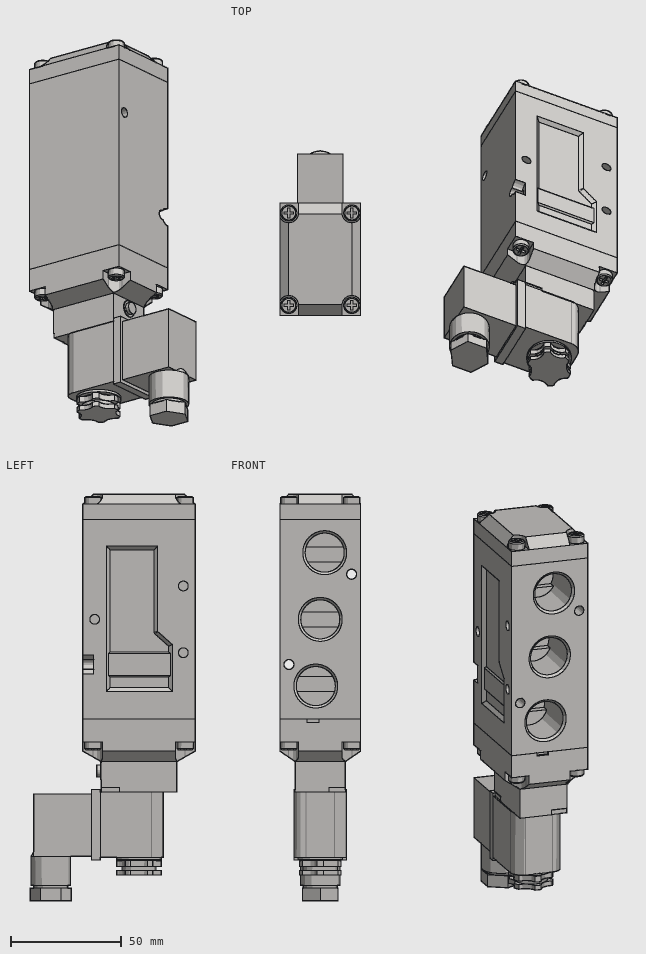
import cadquery as cq
import math


total_height = 183.8
cap_base_z = 172.2
body_base_z = 82.2
pilot_top_z = 62.9
coil_top_z = 49.0
coil_base_z = 19.7

body_width = 36.5
body_depth = 51.0
body_half_width = body_width / 2
front_y = -body_depth / 2
back_y = body_depth / 2
body_mid_z = (cap_base_z + body_base_z) / 2

port_pitch = 30.1
port_shift_x = 2.0
port_radius = 8.8
port_chamfer = 1.1
port_depth = 22.0
port_slot_pitch = 29.2
port_slot_height = 6.8
port_slot_depth = 3.7

mount_hole_radius = 2.2
mount_hole_x = 14.2
mount_hole_rise = 20.4
side_hole_radius = 2.2
side_hole_y = 20.0
side_hole_depth = 5.5

notch_radius = 4.2
notch_depth = 5.0
notch_z = 106.8

pocket_depth = 1.7
wall_draft_angle = 45.0
pocket_back_y = 14.7
pocket_front_y = -8.5
pocket_foot_y = -15.0
pocket_base_z = 94.7
pocket_top_z = 160.3
pocket_slant_top_z = 121.7
pocket_slant_base_z = 115.8
bar_base_z = 101.0
bar_top_z = 112.5
bar_height = 0.7

screw_inset_x = 4.0
screw_inset_y = 4.6
screw_radius = 3.7
screw_height = 3.5
screw_chamfer = 0.5
cross_width = 1.1
cross_length = 4.5
cross_depth = 1.5
corner_radius = 4.5

cap_shoulder_z = 179.2
cap_slope_x = 4.0
cap_slope_y = 5.0

cover_slope_z = 67.6
cover_pocket_z = 71.7
pilot_width = 22.6
pilot_depth = 34.2
cover_mark_width = 5.5
cover_mark_height = 1.5
cover_mark_depth = 1.5
cover_mark_x = -3.3
foot_mark_length_x = 7.4
foot_mark_length_y = 8.3
foot_mark_height = 2.2
foot_mark_depth = 0.4
button_z = 58.6
button_radius = 2.8
button_length = 2.0
collar_radius = 3.9
collar_length = 0.4

coil_width = 23.5
coil_front_y = -11.0
coil_back_y = 17.5
coil_corner_radius = 5.3
flange_thickness = 4.0
flange_width = 23.9
flange_top_z = 50.4
flange_base_z = 18.4
flange_back_y = coil_back_y + flange_thickness

nut_radius = 10.1
nut_hub_radius = 7.7
nut_base_z = 11.5
nut_collar_thickness = 1.1
nut_lower_disc_thickness = 2.2
nut_upper_disc_z = 15.5
nut_upper_disc_thickness = 2.8
scallop_count = 6
scallop_width = 7.5
scallop_depth = 1.5

connector_width = 20.5
connector_end_y = 47.6
connector_base_z = 20.0
connector_top_z = 48.3
gland_y = 39.9
gland_radius = 9.0
gland_base_z = 7.0
gland_cone_radius = 7.7
gland_cone_height = 2.2
gland_neck_radius = 7.7
gland_hex_height = 5.7
gland_hex_across_corners = 18.5


def block(x_range, y_range, z_range):
    """Box given by its limits along each axis."""
    (x0, x1), (y0, y1), (z0, z1) = x_range, y_range, z_range
    return cq.Workplane("XY").box(x1 - x0, y1 - y0, z1 - z0, centered=False).translate((x0, y0, z0))


def centred_block(width, depth, z0, z1):
    """Box centred on the Z axis."""
    return block((-width / 2, width / 2), (-depth / 2, depth / 2), (z0, z1))


def upright_cylinder(x, y, radius, z0, z1):
    return cq.Workplane("XY", origin=(x, y, z0)).circle(radius).extrude(z1 - z0)


def cylinder_along_y(x, z, radius, y0, y1):
    return cq.Workplane("XZ", origin=(x, y0, z)).circle(radius).extrude(y0 - y1)



def port(row):
    """Chamfered port bore with a slot across its floor; row is -1, 0 or 1 from the bottom up."""
    x = row * port_shift_x
    z = body_mid_z + row * port_pitch
    floor_y = front_y + port_depth
    bore = cylinder_along_y(x, z, port_radius, front_y, floor_y)
    mouth = cq.Workplane("XY").add(
        cq.Solid.makeCone(
            port_radius + port_chamfer,
            port_radius,
            port_chamfer,
            pnt=cq.Vector(x, front_y, z),
            dir=cq.Vector(0, 1, 0),
        )
    )
    slot_mid_z = body_mid_z + row * port_slot_pitch
    slot = block(
        (x - port_radius, x + port_radius),
        (floor_y, floor_y + port_slot_depth),
        (slot_mid_z - port_slot_height / 2, slot_mid_z + port_slot_height / 2),
    ).intersect(cylinder_along_y(x, z, port_radius, floor_y, floor_y + port_slot_depth))
    return bore.union(mouth).union(slot)


def label_pocket():
    """Pocket with drafted walls and a low drafted bar across its floor."""
    outline = [
        (pocket_back_y, pocket_base_z),
        (pocket_foot_y, pocket_base_z),
        (pocket_foot_y, pocket_slant_base_z),
        (pocket_front_y, pocket_slant_top_z),
        (pocket_front_y, pocket_top_z),
        (pocket_back_y, pocket_top_z),
    ]
    pocket = (
        cq.Workplane("YZ", origin=(-body_half_width, 0, 0))
        .polyline(outline)
        .close()
        .extrude(pocket_depth, taper=wall_draft_angle)
    )
    floor_x = -body_half_width + pocket_depth
    bar_length = pocket_back_y - pocket_foot_y + 2 * bar_height
    bar = (
        cq.Workplane(
            "YZ", origin=(floor_x, (pocket_back_y + pocket_foot_y) / 2, (bar_base_z + bar_top_z) / 2)
        )
        .rect(bar_length, bar_top_z - bar_base_z)
        .extrude(-bar_height, taper=wall_draft_angle)
    )
    return pocket.cut(bar)


def side_hole(y, z):
    face_plane = cq.Workplane("YZ", origin=(-body_half_width, y, z))
    return face_plane.circle(side_hole_radius).extrude(side_hole_depth)


def make_body():
    body = centred_block(body_width, body_depth, body_base_z, cap_base_z)
    for row in (-1, 0, 1):
        body = body.cut(port(row))
    for side in (-1, 1):
        z = body_mid_z + side * mount_hole_rise
        body = body.cut(cylinder_along_y(side * mount_hole_x, z, mount_hole_radius, front_y, back_y))
    body = body.cut(label_pocket())
    body = body.cut(side_hole(side_hole_y, body_mid_z))
    for side in (-1, 1):
        body = body.cut(side_hole(-side_hole_y, body_mid_z + side * port_pitch / 2))
    notch = cylinder_along_y(-body_half_width, notch_z, notch_radius, back_y - notch_depth, back_y)
    return body.cut(notch)



def sloped_block(shoulder_z, end_z, end_width, end_depth):
    """Frustum from the body outline at the shoulder to a smaller rectangle at the end."""
    return (
        cq.Workplane("XY", origin=(0, 0, shoulder_z))
        .rect(body_width, body_depth)
        .workplane(offset=end_z - shoulder_z)
        .rect(end_width, end_depth)
        .loft(ruled=True)
    )


def corner_places():
    """Screw axis and outward direction for each of the four corners."""
    places = []
    for x_side in (-1, 1):
        for y_side in (-1, 1):
            x = x_side * (body_half_width - screw_inset_x)
            y = y_side * (back_y - screw_inset_y)
            places.append((x, y, x_side, y_side))
    return places


def corner_pocket(x, y, y_side, z0, z1):
    """Round screw pocket that runs out through the nearby Y face."""
    run_out = block(
        (x - corner_radius, x + corner_radius),
        tuple(sorted((y, y_side * back_y))),
        (z0, z1),
    )
    return upright_cylinder(x, y, corner_radius, z0, z1).union(run_out)


def side_run_out(x, y, x_side, z0, z1):
    """Opening from a screw pocket through the nearby X face."""
    return block(
        tuple(sorted((x, x_side * body_half_width))),
        (y - corner_radius, y + corner_radius),
        (z0, z1),
    )


def screw_head():
    """Screw head standing on Z = 0 with a cross recess in its top."""
    head = cq.Workplane("XY").circle(screw_radius).extrude(screw_height)
    head = head.faces(">Z").edges().chamfer(screw_chamfer)
    recess_z = (screw_height - cross_depth, screw_height)
    across = centred_block(cross_length, cross_width, *recess_z)
    along = centred_block(cross_width, cross_length, *recess_z)
    return head.cut(across.union(along))


def make_end_cap():
    cap = centred_block(body_width, body_depth, cap_base_z, cap_shoulder_z)
    cap = cap.union(
        sloped_block(
            cap_shoulder_z,
            total_height,
            body_width - 2 * cap_slope_x,
            body_depth - 2 * cap_slope_y,
        )
    )
    head = screw_head()
    for x, y, _, y_side in corner_places():
        cap = cap.cut(corner_pocket(x, y, y_side, cap_shoulder_z, total_height))
        cap = cap.union(head.translate((x, y, cap_shoulder_z)))
    return cap


def push_button():
    """Manual button and its collar on the +Y face of the pilot block."""
    face_y = pilot_depth / 2
    collar = cylinder_along_y(0, button_z, collar_radius, face_y, face_y + collar_length)
    button = cylinder_along_y(0, button_z, button_radius, face_y, face_y + button_length)
    return collar.union(button)


def make_pilot():
    """Lower cover with its screws and the pilot block below it."""
    pilot = centred_block(body_width, body_depth, cover_slope_z, body_base_z)
    pilot = pilot.union(sloped_block(cover_slope_z, pilot_top_z, pilot_width, pilot_depth))
    head = screw_head().rotate((0, 0, 0), (1, 0, 0), 180)
    for x, y, x_side, y_side in corner_places():
        pilot = pilot.cut(corner_pocket(x, y, y_side, pilot_top_z, cover_pocket_z))
        pilot = pilot.cut(side_run_out(x, y, x_side, pilot_top_z, cover_pocket_z))
        pilot = pilot.union(head.translate((x, y, cover_pocket_z)))
    pilot = pilot.union(centred_block(pilot_width, pilot_depth, coil_top_z, pilot_top_z))
    pilot = pilot.union(push_button())

    cover_mark = block(
        (cover_mark_x - cover_mark_width / 2, cover_mark_x + cover_mark_width / 2),
        (front_y, front_y + cover_mark_depth),
        (body_base_z - cover_mark_height, body_base_z),
    )
    foot_z = (coil_top_z, coil_top_z + foot_mark_height)
    front_foot_mark = block(
        (pilot_width / 2 - foot_mark_length_x, pilot_width / 2),
        (-pilot_depth / 2, -pilot_depth / 2 + foot_mark_depth),
        foot_z,
    )
    side_foot_mark = block(
        (-pilot_width / 2, -pilot_width / 2 + foot_mark_depth),
        (pilot_depth / 2 - foot_mark_length_y, pilot_depth / 2),
        foot_z,
    )
    return pilot.cut(cover_mark).cut(front_foot_mark).cut(side_foot_mark)



def scalloped_disc(z0, thickness):
    """Disc with shallow round scallops cut evenly around its rim."""
    disc = upright_cylinder(0, 0, nut_radius, z0, z0 + thickness)
    half_width = scallop_width / 2
    edge_reach = math.sqrt(nut_radius**2 - half_width**2)
    scallop_radius = (half_width**2 + scallop_depth**2) / (2 * scallop_depth)
    axis_reach = edge_reach - scallop_depth + scallop_radius
    for index in range(scallop_count):
        angle = 2 * math.pi * index / scallop_count
        x = axis_reach * math.cos(angle)
        y = axis_reach * math.sin(angle)
        disc = disc.cut(upright_cylinder(x, y, scallop_radius, z0, z0 + thickness))
    return disc


def coil_nut():
    nut = upright_cylinder(0, 0, nut_hub_radius, nut_base_z, coil_base_z)
    nut = nut.union(upright_cylinder(0, 0, nut_radius, coil_base_z - nut_collar_thickness, coil_base_z))
    nut = nut.union(scalloped_disc(nut_upper_disc_z, nut_upper_disc_thickness))
    return nut.union(scalloped_disc(nut_base_z, nut_lower_disc_thickness))


def make_coil():
    coil_x = (-coil_width / 2, coil_width / 2)
    flange_x = (-flange_width / 2, flange_width / 2)
    coil = block(coil_x, (coil_front_y, coil_back_y), (coil_base_z, coil_top_z))
    coil = coil.faces("<Y").edges("|Z").fillet(coil_corner_radius)
    flange = block(flange_x, (coil_back_y, flange_back_y), (flange_base_z, flange_top_z))
    return coil.union(flange).union(coil_nut())



def cable_gland():
    barrel = upright_cylinder(0, gland_y, gland_radius, gland_base_z, connector_base_z)
    shoulder = cq.Workplane("XY").add(
        cq.Solid.makeCone(
            gland_radius, gland_cone_radius, gland_cone_height, pnt=cq.Vector(0, gland_y, connector_base_z)
        )
    )
    neck = upright_cylinder(0, gland_y, gland_neck_radius, gland_hex_height, gland_base_z)
    hexagon = (
        cq.Workplane("XY")
        .polygon(6, gland_hex_across_corners)
        .extrude(gland_hex_height)
        .rotate((0, 0, 0), (0, 0, 1), 90)
        .translate((0, gland_y, 0))
    )
    return barrel.union(shoulder).union(neck).union(hexagon)


def make_connector():
    housing = block(
        (-connector_width / 2, connector_width / 2),
        (flange_back_y, connector_end_y),
        (connector_base_z, connector_top_z),
    )
    return housing.union(cable_gland())


body = make_body()
end_cap = make_end_cap()
pilot = make_pilot()
coil = make_coil()
connector = make_connector()

result = cq.Compound.makeCompound(
    [body.val(), end_cap.val(), pilot.val(), coil.val(), connector.val()]
)